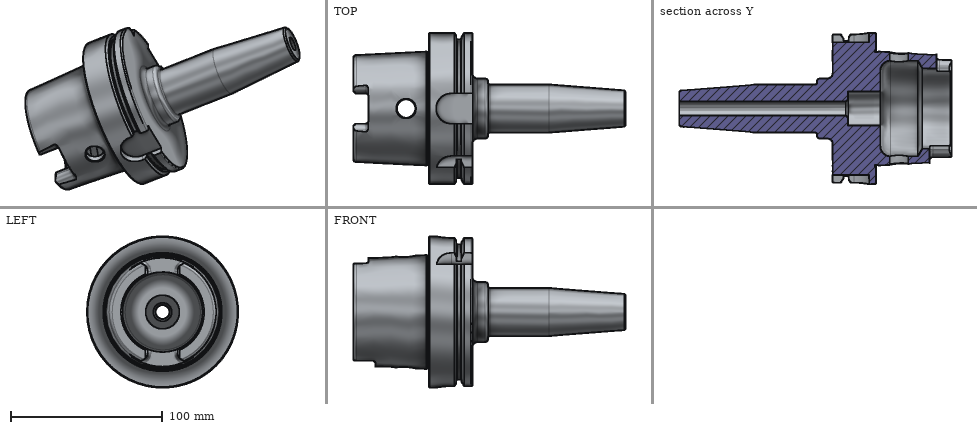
import cadquery as cq
import math

TOTAL_LENGTH = 180.0

TAPER_LENGTH = 48.2
TAPER_RADIUS = 75.5 / 2
TAPER_SLOPE = 1 / 20
END_ROUND = 2.0
RELIEF_START = 49.0
RELIEF_RADIUS = 37.5
FACE_RELIEF_RADIUS = 39.2
FACE_RELIEF_DEPTH = 0.5
FACE_RELIEF_BEVEL = 0.9

FLANGE_START = 50.0
FLANGE_END = 78.8
FLANGE_RADIUS = 50.0
FLANGE_FRONT_CHAMFER = 0.5
FLANGE_REAR_FILLET = 1.0
GROOVE_RADIUS = 45.9
GROOVE_START = 68.0
GROOVE_END = 71.5
GROOVE_FLOOR_FILLET = 0.5
GROOVE_FRONT_BEVEL = (1.3, 2.0)
GROOVE_REAR_BEVEL = (1.8, 2.9)

COLLAR_RADIUS = 40.0 / 2
COLLAR_END = 89.1
COLLAR_ROOT_FILLET = 3.0
COLLAR_RIM_FILLET = 2.3
SHANK_RADIUS = 32.0 / 2
SHANK_ROOT_FILLET = 0.9
NOSE_START = 129.0
NOSE_ANGLE = 4.5
NOSE_CHAMFER = 1.0

MOUTH_RADIUS = 53.0 / 2
MOUTH_CHAMFER = 1.0
MOUTH_DEPTH = 19.5
CLAMPING_RADIUS = 63.0 / 2
CLAMPING_ANGLE = 30.0
BORE_FLOOR_FILLET = 6.7
BORE_DEPTH = 47.2
THREAD_RADIUS = 22.3 / 2
THREAD_DEPTH = 68.4
COOLANT_RADIUS = 9.0 / 2
COOLANT_CHAMFER = 1.6
CROSS_HOLE_X = 35.0
CROSS_HOLE_RADIUS = 12.0 / 2
CROSS_HOLE_CHAMFER = 0.5

KEYWAY_HALF_WIDTH = 9.9
KEYWAY_FLOOR_FILLET = 2.0
KEYWAY_DEPTH_TOP = 10.0
KEYWAY_DEPTH_BOTTOM = 14.5
LUG_HALF_HEIGHT = 32.2
LUG_CORNER_RADIUS = 5.4
LUG_END_CHAMFER = 1.6

NOTCH_WIDTH = 20.0
NOTCH_START = 54.7
NOTCH_FLOOR = 44.0
SIDE_NOTCH_FLOOR = 31.5
SIDE_NOTCH_INNER_Y = -31.3


def arc_middle(x, r, radius, x_side, r_side):
    """Middle of the quarter arc about (x, r) that lies towards the given sides."""
    offset = radius * math.sqrt(0.5)
    return (x + x_side * offset, r + r_side * offset)


def outer_body():
    """Turned outside of the holder, solid inside."""
    tip_radius = TAPER_RADIUS - TAPER_LENGTH * TAPER_SLOPE
    nose_radius = SHANK_RADIUS - (TOTAL_LENGTH - NOSE_START) * math.tan(math.radians(NOSE_ANGLE))
    front_axial, front_radial = GROOVE_FRONT_BEVEL
    rear_axial, rear_radial = GROOVE_REAR_BEVEL
    floor_x1 = GROOVE_START + GROOVE_FLOOR_FILLET
    floor_x2 = GROOVE_END - GROOVE_FLOOR_FILLET
    floor_r = GROOVE_RADIUS + GROOVE_FLOOR_FILLET
    rear_x = FLANGE_END - FLANGE_REAR_FILLET
    rear_r = FLANGE_RADIUS - FLANGE_REAR_FILLET
    root_x = FLANGE_END + COLLAR_ROOT_FILLET
    root_r = COLLAR_RADIUS + COLLAR_ROOT_FILLET
    rim_x = COLLAR_END - COLLAR_RIM_FILLET
    rim_r = COLLAR_RADIUS - COLLAR_RIM_FILLET
    shank_x = COLLAR_END + SHANK_ROOT_FILLET
    shank_r = SHANK_RADIUS + SHANK_ROOT_FILLET

    profile = (
        cq.Workplane("XY")
        .moveTo(0, 0)
        .lineTo(0, tip_radius)
        .lineTo(TAPER_LENGTH, TAPER_RADIUS)
        .lineTo(RELIEF_START, RELIEF_RADIUS)
        .lineTo(FLANGE_START + FACE_RELIEF_DEPTH, RELIEF_RADIUS)
        .lineTo(FLANGE_START + FACE_RELIEF_DEPTH, FACE_RELIEF_RADIUS - FACE_RELIEF_BEVEL)
        .lineTo(FLANGE_START, FACE_RELIEF_RADIUS)
        .lineTo(FLANGE_START, FLANGE_RADIUS - FLANGE_FRONT_CHAMFER)
        .lineTo(FLANGE_START + FLANGE_FRONT_CHAMFER, FLANGE_RADIUS)
        .lineTo(GROOVE_START - front_axial, FLANGE_RADIUS)
        .lineTo(GROOVE_START, FLANGE_RADIUS - front_radial)
        .lineTo(GROOVE_START, floor_r)
        .threePointArc(arc_middle(floor_x1, floor_r, GROOVE_FLOOR_FILLET, -1, -1), (floor_x1, GROOVE_RADIUS))
        .lineTo(floor_x2, GROOVE_RADIUS)
        .threePointArc(arc_middle(floor_x2, floor_r, GROOVE_FLOOR_FILLET, 1, -1), (GROOVE_END, floor_r))
        .lineTo(GROOVE_END, FLANGE_RADIUS - rear_radial)
        .lineTo(GROOVE_END + rear_axial, FLANGE_RADIUS)
        .lineTo(rear_x, FLANGE_RADIUS)
        .threePointArc(arc_middle(rear_x, rear_r, FLANGE_REAR_FILLET, 1, 1), (FLANGE_END, rear_r))
        .lineTo(FLANGE_END, root_r)
        .threePointArc(arc_middle(root_x, root_r, COLLAR_ROOT_FILLET, -1, -1), (root_x, COLLAR_RADIUS))
        .lineTo(rim_x, COLLAR_RADIUS)
        .threePointArc(arc_middle(rim_x, rim_r, COLLAR_RIM_FILLET, 1, 1), (COLLAR_END, rim_r))
        .lineTo(COLLAR_END, shank_r)
        .threePointArc(arc_middle(shank_x, shank_r, SHANK_ROOT_FILLET, -1, -1), (shank_x, SHANK_RADIUS))
        .lineTo(NOSE_START, SHANK_RADIUS)
        .lineTo(TOTAL_LENGTH, nose_radius)
        .lineTo(TOTAL_LENGTH, 0)
        .close()
    )
    body = profile.revolve(360, (0, 0, 0), (1, 0, 0))
    body = body.faces("<X").edges().fillet(END_ROUND)
    return body.faces(">X").edges().chamfer(NOSE_CHAMFER)


def drive_lug(side):
    """Block left standing on the +Y or -Y side, its inner corners rounded and its end bevelled."""
    reach = FLANGE_RADIUS - KEYWAY_HALF_WIDTH
    inner_side = "<Y" if side > 0 else ">Y"
    rounded = (
        cq.Workplane("YZ")
        .center(side * (KEYWAY_HALF_WIDTH + reach / 2), 0)
        .rect(reach, 2 * LUG_HALF_HEIGHT)
        .extrude(TAPER_LENGTH)
        .faces(inner_side)
        .edges("|X")
        .fillet(LUG_CORNER_RADIUS)
    )
    bevelled = (
        cq.Workplane("XY")
        .moveTo(0, side * (KEYWAY_HALF_WIDTH + LUG_END_CHAMFER))
        .lineTo(LUG_END_CHAMFER, side * KEYWAY_HALF_WIDTH)
        .lineTo(TAPER_LENGTH, side * KEYWAY_HALF_WIDTH)
        .lineTo(TAPER_LENGTH, side * FLANGE_RADIUS)
        .lineTo(0, side * FLANGE_RADIUS)
        .close()
        .extrude(LUG_HALF_HEIGHT, both=True)
    )
    return rounded.intersect(bevelled)


def keyway(side, depth):
    """Keyway cutter above (side = 1) or below (side = -1) the axis: everything around the lugs."""
    cutter = (
        cq.Workplane("YZ")
        .center(0, side * FLANGE_RADIUS / 2)
        .rect(2 * FLANGE_RADIUS, FLANGE_RADIUS)
        .extrude(depth)
    )
    cutter = cutter.cut(drive_lug(1)).cut(drive_lug(-1))
    limit = FLANGE_RADIUS - KEYWAY_FLOOR_FILLET
    lug_edges = cq.selectors.BoxSelector(
        (0, -limit, side * KEYWAY_FLOOR_FILLET),
        (TAPER_LENGTH, limit, side * limit),
    )
    return cutter.faces(">X").edges(lug_edges).fillet(KEYWAY_FLOOR_FILLET)


def bore():
    """Turned cutter for the clamping bore, its floor, the thread hole and the coolant hole."""
    fillet_x = BORE_DEPTH - BORE_FLOOR_FILLET
    fillet_r = CLAMPING_RADIUS - BORE_FLOOR_FILLET
    thread_floor = THREAD_DEPTH + COOLANT_CHAMFER
    clamping_cone = (CLAMPING_RADIUS - MOUTH_RADIUS) * math.tan(math.radians(CLAMPING_ANGLE))
    return (
        cq.Workplane("XY")
        .moveTo(0, 0)
        .lineTo(0, MOUTH_RADIUS + MOUTH_CHAMFER)
        .lineTo(MOUTH_CHAMFER, MOUTH_RADIUS)
        .lineTo(MOUTH_DEPTH, MOUTH_RADIUS)
        .lineTo(MOUTH_DEPTH + clamping_cone, CLAMPING_RADIUS)
        .lineTo(fillet_x, CLAMPING_RADIUS)
        .threePointArc(arc_middle(fillet_x, fillet_r, BORE_FLOOR_FILLET, 1, 1), (BORE_DEPTH, fillet_r))
        .lineTo(BORE_DEPTH, THREAD_RADIUS)
        .lineTo(THREAD_DEPTH, THREAD_RADIUS)
        .lineTo(THREAD_DEPTH, COOLANT_RADIUS + COOLANT_CHAMFER)
        .lineTo(thread_floor, COOLANT_RADIUS)
        .lineTo(TOTAL_LENGTH, COOLANT_RADIUS)
        .lineTo(TOTAL_LENGTH, 0)
        .close()
        .revolve(360, (0, 0, 0), (1, 0, 0))
    )


def drill_cross_hole(body):
    """Drill across the hollow taper along Z and chamfer both outer rims."""
    hole = cq.Workplane("XY").center(CROSS_HOLE_X, 0).circle(CROSS_HOLE_RADIUS)
    body = body.cut(hole.extrude(FLANGE_RADIUS, both=True))
    mid_wall = (CLAMPING_RADIUS + TAPER_RADIUS) / 2
    for side in (1, -1):
        rim = cq.selectors.BoxSelector(
            (CROSS_HOLE_X - CROSS_HOLE_RADIUS, -CROSS_HOLE_RADIUS, side * mid_wall),
            (CROSS_HOLE_X + CROSS_HOLE_RADIUS, CROSS_HOLE_RADIUS, side * FLANGE_RADIUS),
        )
        body = body.edges(rim).chamfer(CROSS_HOLE_CHAMFER)
    return body


def flange_notch(center_y, floor_z, top_z):
    """Round-ended slot open towards +X, cut along Z between two heights."""
    radius = NOTCH_WIDTH / 2
    center_x = NOTCH_START + radius
    return (
        cq.Workplane("XY", origin=(0, 0, floor_z))
        .moveTo(FLANGE_END, center_y - radius)
        .lineTo(center_x, center_y - radius)
        .threePointArc((NOTCH_START, center_y), (center_x, center_y + radius))
        .lineTo(FLANGE_END, center_y + radius)
        .close()
        .extrude(top_z - floor_z)
    )


side_notch_y = SIDE_NOTCH_INNER_Y - NOTCH_WIDTH / 2

body = outer_body()
body = body.cut(keyway(1, KEYWAY_DEPTH_TOP))
body = body.cut(keyway(-1, KEYWAY_DEPTH_BOTTOM))
body = body.cut(bore())
body = drill_cross_hole(body)
body = body.cut(flange_notch(0, NOTCH_FLOOR, FLANGE_RADIUS))
body = body.cut(flange_notch(0, -FLANGE_RADIUS, -NOTCH_FLOOR))
result = body.cut(flange_notch(side_notch_y, SIDE_NOTCH_FLOOR, FLANGE_RADIUS))